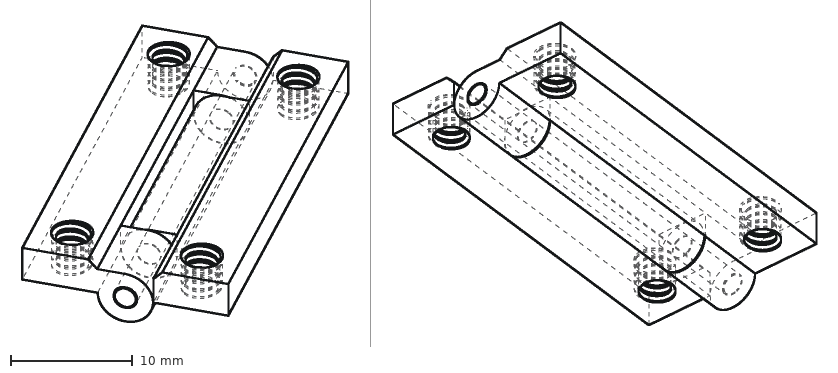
import cadquery as cq
import math

hinge_length = 33.53
hinge_width = 17.75
leaf_thickness = 3.2

knuckle_radius = 2.38
end_knuckle_length = 6.57
knuckle_gap = 0.1
swing_clearance = 0.05
middle_knuckle_length = hinge_length - 2 * (end_knuckle_length + knuckle_gap)
end_knuckle_offset = (hinge_length - end_knuckle_length) / 2

outer_edge = hinge_width / 2
inner_edge = knuckle_radius + swing_clearance
bevel_height = leaf_thickness - knuckle_radius
bevel_width = 0.77

pin_radius = 1.0
pin_chamfer = 0.1

hole_inset = 3.3
hole_x = outer_edge - hole_inset
hole_y = hinge_length / 2 - hole_inset
thread_crest_radius = 1.35
thread_root_radius = 1.7
thread_pitch = 0.8
thread_crest_width = thread_pitch / 4
flank_angle = math.radians(30)
thread_start_depth = 0.45
thread_overlap = 0.07
countersink_radius = 1.75
countersink_depth = countersink_radius - thread_crest_radius



def make_leaf_plate():
    """Flat plate on the +X side, with its top inner edge bevelled."""
    profile = [
        (inner_edge, 0),
        (outer_edge, 0),
        (outer_edge, leaf_thickness),
        (inner_edge + bevel_width, leaf_thickness),
        (inner_edge, leaf_thickness - bevel_height),
    ]
    return cq.Workplane("XZ").polyline(profile).close().extrude(hinge_length / 2, both=True)


def make_knuckle(length, center_y):
    """Barrel around the pin axis, joined to the +X plate by a flat-topped web."""
    barrel = cq.Workplane("XZ").circle(knuckle_radius).extrude(length / 2, both=True)
    web = cq.Workplane("XY").box(inner_edge, length, knuckle_radius, centered=(False, True, False))
    return barrel.union(web).translate((0, center_y, 0))


def make_thread_groove():
    """Right-handed helical groove with sloping flanks, running past both faces of the leaf."""
    turns = math.ceil(leaf_thickness / thread_pitch) + 1
    helix_height = turns * thread_pitch
    helix = cq.Wire.makeHelix(thread_pitch, helix_height, thread_crest_radius)
    inner_radius = thread_crest_radius - thread_overlap
    crest_half = (thread_pitch - thread_crest_width) / 2
    inner_half = crest_half + thread_overlap * math.tan(flank_angle)
    root_half = crest_half - (thread_root_radius - thread_crest_radius) * math.tan(flank_angle)
    profile = [
        (inner_radius, -inner_half),
        (thread_root_radius, -root_half),
        (thread_root_radius, root_half),
        (inner_radius, inner_half),
    ]
    groove = cq.Workplane("XZ").polyline(profile).close().sweep(helix, isFrenet=True)
    first_turn = leaf_thickness - thread_start_depth + thread_pitch - helix_height
    return groove.translate((0, 0, first_turn))


def make_countersink():
    """45-degree cone cutter opening up to the top face."""
    profile = [
        (0, leaf_thickness),
        (countersink_radius, leaf_thickness),
        (thread_crest_radius, leaf_thickness - countersink_depth),
        (0, leaf_thickness - countersink_depth),
    ]
    return cq.Workplane("XZ").polyline(profile).close().revolve(360, (0, 0), (0, 1))


def cut_screw_hole(leaf, x, y):
    """Threaded through hole with a countersink at the top."""
    bore = cq.Workplane("XY").circle(thread_crest_radius).extrude(2 * leaf_thickness, both=True)
    threaded_bore = bore.union(make_thread_groove())
    for cutter in (threaded_bore, make_countersink()):
        leaf = leaf.cut(cutter.translate((x, y, 0)))
    return leaf


def make_leaf(knuckles):
    """One leaf on the +X side, still without screw holes: plate, its knuckles and the pin bore."""
    leaf = make_leaf_plate()
    for length, center_y in knuckles:
        leaf = leaf.union(make_knuckle(length, center_y))
    pin_bore = cq.Workplane("XZ").circle(pin_radius).extrude(hinge_length / 2, both=True)
    return leaf.cut(pin_bore)


def make_pin():
    """Straight pin along the full hinge, chamfered at both ends."""
    pin = cq.Workplane("XZ").circle(pin_radius).extrude(hinge_length / 2, both=True)
    return pin.faces("<Y or >Y").chamfer(pin_chamfer)


end_knuckles = [
    (end_knuckle_length, -end_knuckle_offset),
    (end_knuckle_length, end_knuckle_offset),
]
left_leaf = make_leaf(end_knuckles).rotate((0, 0, 0), (0, 0, 1), 180)
right_leaf = make_leaf([(middle_knuckle_length, 0)])
for y in (-hole_y, hole_y):
    left_leaf = cut_screw_hole(left_leaf, -hole_x, y)
    right_leaf = cut_screw_hole(right_leaf, hole_x, y)
pin = make_pin()

result = cq.Compound.makeCompound([left_leaf.val(), right_leaf.val(), pin.val()])